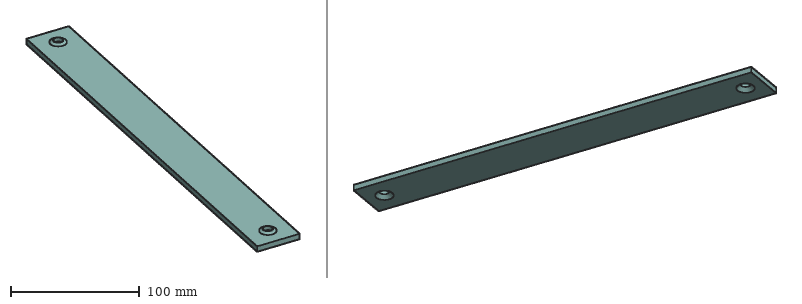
import cadquery as cq

length = 360.5
width = 38.2
thickness = 5.0

total_height = 7.0
hole_spacing = 327.2
hole_diameter = 7.5
dimple_top_diameter = 8.3
dimple_base_diameter = 13.7
recess_diameter = 14.5
recess_depth = 3.2

hole_centers = [(-hole_spacing / 2, 0), (hole_spacing / 2, 0)]


def cone(bottom_diameter, top_diameter, bottom_z, top_z):
    """Truncated cone about the Z axis, between two heights."""
    profile = [
        (0, bottom_z),
        (bottom_diameter / 2, bottom_z),
        (top_diameter / 2, top_z),
        (0, top_z),
    ]
    return cq.Workplane("XZ").polyline(profile).close().revolve(360, (0, 0, 0), (0, 1, 0))


result = cq.Workplane("XY").box(length, width, thickness, centered=(True, True, False))

raised_cone = cone(dimple_base_diameter, dimple_top_diameter, thickness, total_height)
recess = cone(recess_diameter, hole_diameter, 0, recess_depth)
hole = cq.Workplane("XY").circle(hole_diameter / 2).extrude(total_height)
opening = recess.union(hole)
for x, y in hole_centers:
    result = result.union(raised_cone.translate((x, y, 0)))
    result = result.cut(opening.translate((x, y, 0)))